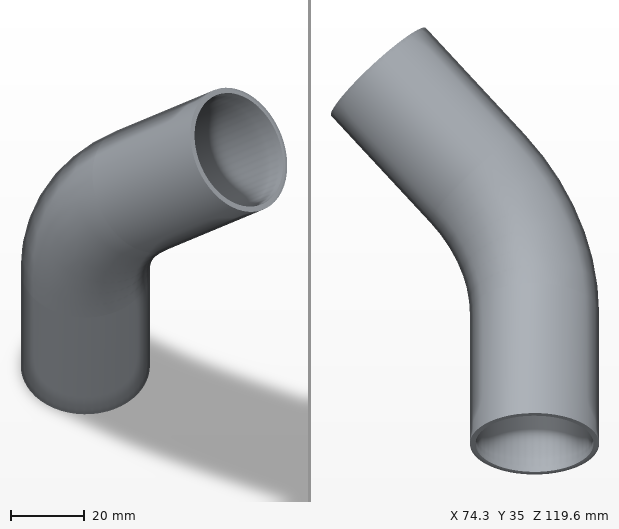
import cadquery as cq
import math

overall_height = 119.6
outer_diameter = 35.0
inner_diameter = 32.0
leg_length = 40.0
bend_angle = 45.0

bend = math.radians(bend_angle)
outer_radius = outer_diameter / 2
bend_radius = (overall_height - leg_length) / math.sin(bend) - leg_length - outer_radius


def bend_point(angle):
    """Centreline point (X, Z) reached after turning by the given angle."""
    x = bend_radius * (1 - math.cos(angle))
    z = leg_length + bend_radius * math.sin(angle)
    return x, z


bend_end_x, bend_end_z = bend_point(bend)
tip_x = bend_end_x + leg_length * math.sin(bend)
tip_z = bend_end_z + leg_length * math.cos(bend)
centreline = (
    cq.Workplane("XZ")
    .lineTo(0, leg_length)
    .threePointArc(bend_point(bend / 2), (bend_end_x, bend_end_z))
    .lineTo(tip_x, tip_z)
)

result = (
    cq.Workplane("XY")
    .circle(outer_radius)
    .circle(inner_diameter / 2)
    .sweep(centreline)
)